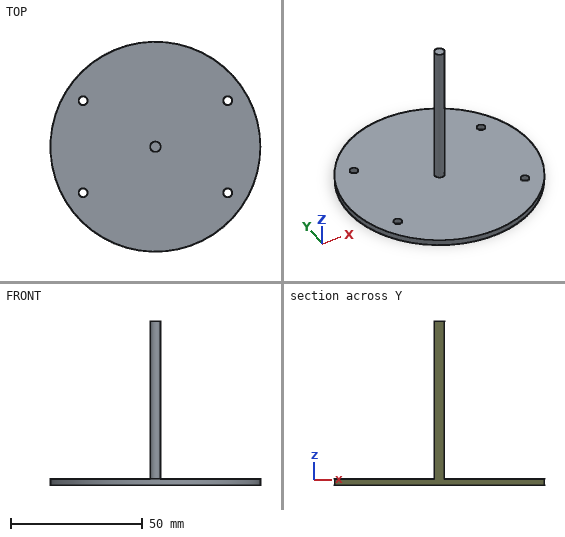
import cadquery as cq

plate_diameter = 80.0
plate_thickness = 2.5

rod_diameter = 4.0
rod_length = 60.0

hole_diameter = 3.3
hole_spacing_x = 55.0
hole_spacing_y = 35.0

plate = cq.Workplane("XY").circle(plate_diameter / 2).extrude(plate_thickness)

rod = (
    cq.Workplane("XY")
    .workplane(offset=plate_thickness)
    .circle(rod_diameter / 2)
    .extrude(rod_length)
)

mounting_holes = (
    cq.Workplane("XY")
    .rect(hole_spacing_x, hole_spacing_y, forConstruction=True)
    .vertices()
    .circle(hole_diameter / 2)
    .extrude(plate_thickness)
)

result = plate.cut(mounting_holes).union(rod)